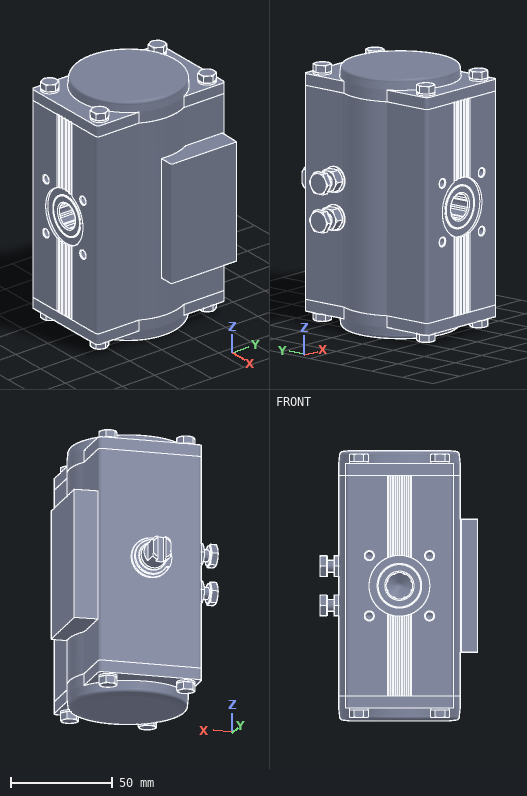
import cadquery as cq
import math


box_width = 53.0
box_depth = 80.0
half_depth = box_depth / 2
housing_length = 108.5
cylinder_diameter = 60.0
corner_radius = 1.9
blend_radius = 2.0

cover_thickness = 6.0
dome_shoulder_diameter = 59.2
overall_length = 133.3
dome_height = (overall_length - housing_length) / 2 - cover_thickness
dome_wall_height = 3.9
dome_rim_diameter = 55.9
dome_rim_drop = 0.4
dome_top_diameter = 48.8
rim_bulge = 0.4

screw_spacing_x = 40.0
screw_spacing_y = 67.2
screw_washer_diameter = 9.0
screw_washer_height = 0.9
screw_head_width = 8.1
screw_head_height = 3.7
hex_chamfer = 0.3

recess_diameter = 30.0
recess_depth = 1.3
mount_circle_diameter = 42.0
mount_hole_diameter = 4.1
mount_countersink_diameter = 4.9
mount_hole_depth = 12.0
groove_count = 5
groove_pitch = 2.5
groove_top_width = 1.9
groove_floor_width = 0.7
groove_depth = 0.5
drill_half_angle = 59.0

shaft_end_y = 60.0
shaft_foot_diameter = 22.0
shaft_foot_chamfer = 0.5
shaft_foot_top_y = 0.0
shaft_collar_diameter = 14.0
shaft_collar_top_y = 44.3
shaft_neck_diameter = 12.7
shaft_neck_y = 45.0
flat_distance = 8.9
flat_length = 9.7
tip_slot_width = 4.0
tip_slot_depth = 3.9
tip_chamfer = 1.0
socket_width = 11.2
socket_diameter = 13.0
socket_mouth_diameter = 14.4
socket_depth = 12.0

ring_flange_diameter = 20.0
ring_flange_height = 1.5
ring_hub_diameter = 17.3
ring_height = 3.0
ring_lug_width = 9.0

block_face_x = 38.5
block_bottom_y = -3.0
block_top_y = 38.1
block_draft = 0.5
block_length = 65.7
block_edge_radius = 0.7
block_relief_diameter = 61.0

stop_y = 19.7
stop_spacing_z = 19.3
stop_washer_diameter = 13.0
stop_washer_height = 0.5
stop_nut_width = 10.4
stop_nut_height = 5.0
stop_shank_diameter = 6.0
stop_shank_length = 3.2
stop_collar_diameter = 10.0
stop_collar_height = 0.5
stop_head_height = 3.3


def cylinder(diameter, height):
    return cq.Workplane("XY").circle(diameter / 2).extrude(height)


def hex_prism(width_across_flats, height, chamfered_ends=">Z"):
    """Hexagon standing on the XY plane with corners on X and one or both ends chamfered."""
    corner_diameter = width_across_flats / math.cos(math.radians(30))
    prism = cq.Workplane("XY").polygon(6, corner_diameter).extrude(height)
    envelope = cylinder(corner_diameter, height).faces(chamfered_ends).edges().chamfer(
        hex_chamfer, (corner_diameter - width_across_flats) / 2)
    return prism.intersect(envelope)


def cone(bottom_diameter, top_diameter, height):
    return cq.Workplane(cq.Solid.makeCone(bottom_diameter / 2, top_diameter / 2, height))


def drill_tip(diameter):
    """Cone left by a drill, with its base on the XY plane."""
    return cone(diameter, 0, diameter / 2 / math.tan(math.radians(drill_half_angle)))


def along_y(shape, y):
    """Turn a shape built along +Z so that it points along +Y from the given Y."""
    return shape.rotate((0, 0, 0), (1, 0, 0), -90).translate((0, y, 0))


def body_block(length):
    """Box with rounded corners crossed by the cylinder barrel, standing on the XY plane."""
    box = cq.Workplane("XY").rect(box_width, box_depth).extrude(length).edges("|Z").fillet(corner_radius)
    return box.union(cylinder(cylinder_diameter, length))


def make_cover():
    shoulder_radius = dome_shoulder_diameter / 2
    rim = (dome_rim_diameter / 2, dome_height - dome_rim_drop)
    rim_middle = ((shoulder_radius + rim[0]) / 2 + rim_bulge, (dome_wall_height + rim[1]) / 2 + rim_bulge)
    dome = (
        cq.Workplane("XZ")
        .lineTo(cylinder_diameter / 2, 0)
        .lineTo(shoulder_radius, dome_wall_height)
        .threePointArc(rim_middle, rim)
        .lineTo(dome_top_diameter / 2, dome_height)
        .lineTo(0, dome_height)
        .close()
        .revolve(360, (0, 0, 0), (0, 1, 0))
        .translate((0, 0, cover_thickness))
    )
    cover = body_block(cover_thickness).union(dome)
    screw = cylinder(screw_washer_diameter, screw_washer_height).union(
        hex_prism(screw_head_width, screw_head_height).translate((0, 0, screw_washer_height)))
    for side_x in (-1, 1):
        for side_y in (-1, 1):
            x = side_x * screw_spacing_x / 2
            y = side_y * screw_spacing_y / 2
            cover = cover.union(screw.translate((x, y, cover_thickness)))
    return cover.translate((0, 0, housing_length / 2))


top_cover = make_cover()
bottom_cover = top_cover.mirror("XY")


shaft_foot_y = -half_depth + recess_depth


def shaft_blank(foot_chamfer):
    """Stepped round shaft along Y, also used as the cutter for its bore."""
    foot_radius = shaft_foot_diameter / 2
    collar_radius = shaft_collar_diameter / 2
    neck_radius = shaft_neck_diameter / 2
    return (
        cq.Workplane("XY")
        .moveTo(0, shaft_foot_y)
        .lineTo(foot_radius - foot_chamfer, shaft_foot_y)
        .lineTo(foot_radius, shaft_foot_y + shaft_foot_chamfer)
        .lineTo(foot_radius, shaft_foot_top_y)
        .lineTo(collar_radius, shaft_foot_top_y)
        .lineTo(collar_radius, shaft_collar_top_y)
        .lineTo(neck_radius, shaft_neck_y)
        .lineTo(neck_radius, shaft_end_y - tip_chamfer)
        .lineTo(neck_radius - tip_chamfer, shaft_end_y)
        .lineTo(0, shaft_end_y)
        .close()
        .revolve(360, (0, 0, 0), (0, 1, 0))
    )


def star_socket():
    """Double-square socket with rounded-off points, a chamfered mouth and a cone-shaped bottom."""
    square = cq.Workplane("XY").rect(socket_width, socket_width).extrude(socket_depth)
    star = square.union(square.rotate((0, 0, 0), (0, 0, 1), 45))
    star = star.intersect(cylinder(socket_diameter, socket_depth))
    bottom = drill_tip(socket_diameter).translate((0, 0, socket_depth))
    mouth_height = (socket_mouth_diameter - socket_diameter) / 2
    return star.union(bottom).union(cone(socket_mouth_diameter, socket_diameter, mouth_height))


def make_shaft():
    shaft = shaft_blank(shaft_foot_chamfer).cut(along_y(star_socket(), shaft_foot_y))
    flat_depth = (shaft_neck_diameter - flat_distance) / 2
    flat_y = shaft_end_y - flat_length / 2
    for side in (-1, 1):
        flat_x = side * (flat_distance + flat_depth) / 2
        flat = cq.Workplane("XY").box(flat_depth, flat_length, shaft_neck_diameter)
        shaft = shaft.cut(flat.translate((flat_x, flat_y, 0)))
    slot = cq.Workplane("XY").box(tip_slot_width, tip_slot_depth, shaft_neck_diameter)
    return shaft.cut(slot.translate((0, shaft_end_y - tip_slot_depth / 2, 0)))


shaft = make_shaft()


def make_ring():
    flange = cylinder(ring_flange_diameter, ring_flange_height)
    hub = cylinder(ring_hub_diameter, ring_height)
    lug_box = cq.Workplane("XY").rect(ring_flange_diameter / 2, ring_lug_width).extrude(ring_height)
    lug = lug_box.translate((-ring_flange_diameter / 4, 0, 0)).intersect(
        cylinder(ring_flange_diameter, ring_height))
    ring = flange.union(hub).union(lug).cut(cylinder(shaft_collar_diameter, ring_height))
    return along_y(ring, half_depth)


ring = make_ring()


def make_side_block():
    face_x = box_width / 2
    block = (
        cq.Workplane("XY")
        .polyline([
            (face_x, block_bottom_y),
            (block_face_x, block_bottom_y),
            (block_face_x, block_top_y - block_draft),
            (face_x, block_top_y),
        ])
        .close()
        .extrude(block_length / 2, both=True)
    )
    relief = cylinder(block_relief_diameter, block_length).translate((0, 0, -block_length / 2))
    lower_outer_edge = cq.selectors.NearestToPointSelector((block_face_x, block_bottom_y, 0))
    return block.edges(lower_outer_edge).fillet(block_edge_radius).cut(relief)


side_block_blank = make_side_block()


def make_stop_screw():
    """Screw with washer and nut, built along +Z from the housing face."""
    shank_z = stop_washer_height + stop_nut_height
    collar_z = shank_z + stop_shank_length
    head_z = collar_z + stop_collar_height
    screw = cylinder(stop_washer_diameter, stop_washer_height)
    nut = hex_prism(stop_nut_width, stop_nut_height, "<Z or >Z")
    screw = screw.union(nut.translate((0, 0, stop_washer_height)))
    screw = screw.union(cylinder(stop_shank_diameter, stop_shank_length).translate((0, 0, shank_z)))
    screw = screw.union(cylinder(stop_collar_diameter, stop_collar_height).translate((0, 0, collar_z)))
    screw = screw.union(hex_prism(stop_nut_width, stop_head_height).translate((0, 0, head_z)))
    return screw.rotate((0, 0, 0), (0, 0, 1), 90).rotate((0, 0, 0), (0, 1, 0), -90)


stop_screws = [
    make_stop_screw().translate((-box_width / 2, stop_y, side * stop_spacing_z / 2))
    for side in (-1, 1)
]


def cut_grooves(housing):
    """Row of trapezoidal grooves along Z in the -Y face."""
    face_y = -half_depth
    for index in range(groove_count):
        x = (index - (groove_count - 1) / 2) * groove_pitch
        groove = (
            cq.Workplane("XY")
            .polyline([
                (x - groove_top_width / 2, face_y),
                (x + groove_top_width / 2, face_y),
                (x + groove_floor_width / 2, face_y + groove_depth),
                (x - groove_floor_width / 2, face_y + groove_depth),
            ])
            .close()
            .extrude(housing_length / 2, both=True)
        )
        housing = housing.cut(groove)
    return housing


def cut_mounting_holes(housing):
    """Four blind, countersunk holes on a circle around the shaft."""
    countersink_depth = (mount_countersink_diameter - mount_hole_diameter) / 2
    countersink = cone(mount_countersink_diameter, mount_hole_diameter, countersink_depth)
    bore = cylinder(mount_hole_diameter, mount_hole_depth)
    tip = drill_tip(mount_hole_diameter).translate((0, 0, mount_hole_depth))
    hole = along_y(bore.union(tip).union(countersink), -half_depth)
    offset = mount_circle_diameter / 2 * math.cos(math.radians(45))
    for side_x in (-1, 1):
        for side_z in (-1, 1):
            housing = housing.cut(hole.translate((side_x * offset, 0, side_z * offset)))
    return housing


def make_housing():
    housing = body_block(housing_length).translate((0, 0, -housing_length / 2))
    junction_y = math.sqrt((cylinder_diameter / 2) ** 2 - (box_width / 2) ** 2)
    for side_x in (-1, 1):
        for side_y in (-1, 1):
            junction = (side_x * box_width / 2, side_y * junction_y, 0)
            housing = housing.edges(cq.selectors.NearestToPointSelector(junction)).fillet(blend_radius)
    housing = cut_grooves(housing)
    recess = along_y(cylinder(recess_diameter, recess_depth), -half_depth)
    housing = cut_mounting_holes(housing.cut(recess))
    housing = housing.cut(shaft_blank(0))
    for stop_screw in stop_screws:
        housing = housing.cut(stop_screw)
    return housing


housing = make_housing()
side_block = side_block_blank.cut(housing)

bodies = [housing, top_cover, bottom_cover, shaft, ring, side_block, *stop_screws]
result = cq.Compound.makeCompound([body.val() for body in bodies])